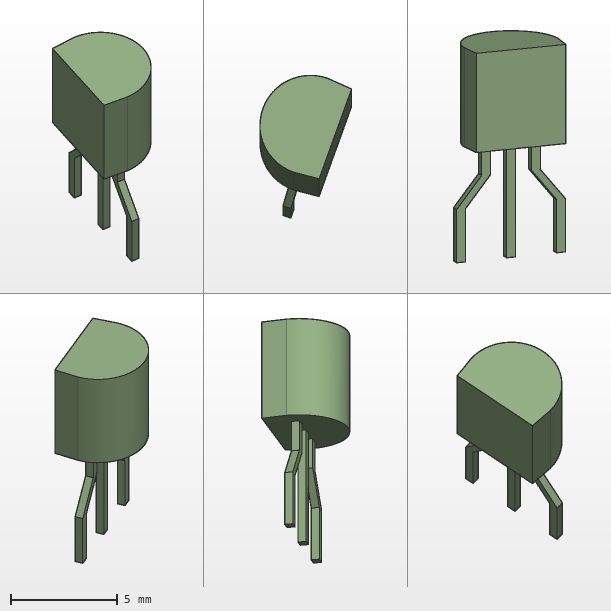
import cadquery as cq

total_height = 10.41
case_height = 4.82
case_radius = 2.38
flat_depth = 1.24
flat_width = 4.56

lead_width = 0.46
lead_thickness = 0.4
case_pitch = 1.27
tip_pitch = 2 * case_pitch
upper_bend_drop = 1.47
bend_height = 1.53

case_bottom = total_height - case_height
upper_bend = case_bottom - upper_bend_drop
lower_bend = upper_bend - bend_height


def make_case():
    """D-shaped case standing on top of the leads."""
    return (
        cq.Workplane("XY")
        .workplane(offset=case_bottom)
        .moveTo(case_radius, 0)
        .threePointArc((0, case_radius), (-case_radius, 0))
        .lineTo(-flat_width / 2, -flat_depth)
        .lineTo(flat_width / 2, -flat_depth)
        .close()
        .extrude(case_height)
    )


def make_lead(side):
    """One lead: side is -1 (left), 0 (straight centre lead) or 1 (right)."""
    case_x = side * case_pitch
    tip_x = side * tip_pitch
    centre_line = [(case_x, case_bottom)]
    if side != 0:
        centre_line += [(case_x, upper_bend), (tip_x, lower_bend)]
    centre_line.append((tip_x, 0))

    left_edge = [(x - lead_width / 2, z) for x, z in centre_line]
    right_edge = [(x + lead_width / 2, z) for x, z in reversed(centre_line)]

    return (
        cq.Workplane("XZ")
        .polyline(left_edge + right_edge)
        .close()
        .extrude(-lead_thickness)
    )


result = make_case()
for lead_side in (-1, 0, 1):
    result = result.union(make_lead(lead_side))